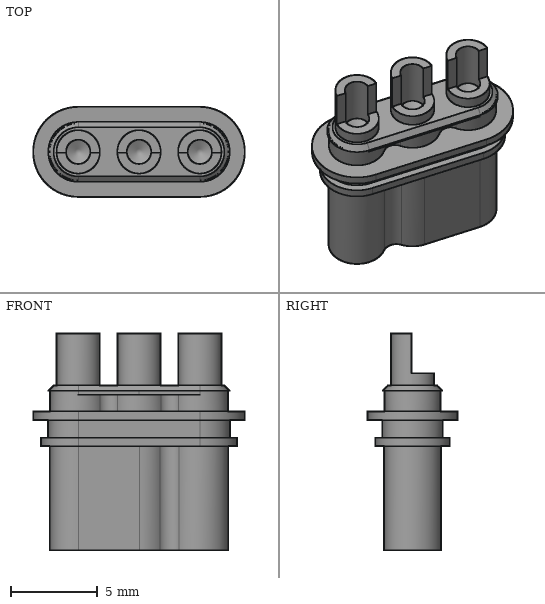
import cadquery as cq
import math


pin_pitch = 3.5
pin_diameter = 2.5
pin_top = 12.5
half_pitch = pin_pitch / 2
pin_xs = [-pin_pitch, 0.0, pin_pitch]

cup_diameter = 1.4
cup_floor = 9.5
cup_point_angle = 118.0
cup_cut_bottom = 10.2
cup_cut_y = -0.05

plug_top = 6.0
lower_flange_top = 6.5
neck_top = 7.5
upper_flange_top = 8.0
collar_bottom = 8.98
cap_chamfer = 0.31
housing_top = 9.5
cap_bottom = housing_top - cap_chamfer

plug_width = 3.3
stem_width = 3.25
lower_flange_width = 4.3
neck_width = 3.5
upper_flange_width = 5.2
cap_width = 3.45
cap_slope = 45.0

plug_waist_radius = 0.75
stem_waist_radius = 0.65


def slab(width, bottom, top, slope=0):
    """Round-ended slab that spans the three pins; slope leans its sides inward, in degrees."""
    length = 2 * pin_pitch + width
    base = cq.Workplane("XY", origin=(0, 0, bottom))
    return base.slot2D(length, width).extrude(top - bottom, taper=slope)


def waist_geometry(lobe_radius, waist_radius):
    """Distance along X and Y from a lobe centre to its tangent point, and Y of the waist bottom."""
    center_distance = lobe_radius + waist_radius
    waist_center_y = math.sqrt(center_distance**2 - half_pitch**2)
    tangent_x = lobe_radius * half_pitch / center_distance
    tangent_y = lobe_radius * waist_center_y / center_distance
    return tangent_x, tangent_y, waist_center_y - waist_radius


def make_lobes():
    """Stem body with a lobe round each pin and a concave waist between neighbouring lobes."""
    lobe_radius = stem_width / 2
    tangent_x, tangent_y, waist_y = waist_geometry(lobe_radius, stem_waist_radius)
    end_x = pin_pitch + lobe_radius
    inner_x = pin_pitch - tangent_x
    return (
        cq.Workplane("XY", origin=(0, 0, upper_flange_top))
        .moveTo(-inner_x, -tangent_y)
        .threePointArc((-half_pitch, -waist_y), (-tangent_x, -tangent_y))
        .threePointArc((0, -lobe_radius), (tangent_x, -tangent_y))
        .threePointArc((half_pitch, -waist_y), (inner_x, -tangent_y))
        .threePointArc((end_x, 0), (inner_x, tangent_y))
        .threePointArc((half_pitch, waist_y), (tangent_x, tangent_y))
        .threePointArc((0, lobe_radius), (-tangent_x, tangent_y))
        .threePointArc((-half_pitch, waist_y), (-inner_x, tangent_y))
        .threePointArc((-end_x, 0), (-inner_x, -tangent_y))
        .close()
        .extrude(cap_bottom - upper_flange_top)
    )


def make_plug():
    """Mating end: straight sides on the -X half, waists on the +X half as the key."""
    lobe_radius = plug_width / 2
    tangent_x, tangent_y, waist_y = waist_geometry(lobe_radius, plug_waist_radius)
    end_x = pin_pitch + lobe_radius
    inner_x = pin_pitch - tangent_x
    middle_angle = (math.atan2(tangent_y, tangent_x) + math.pi / 2) / 2
    middle_x = lobe_radius * math.cos(middle_angle)
    middle_y = lobe_radius * math.sin(middle_angle)
    return (
        cq.Workplane("XY")
        .moveTo(-pin_pitch, -lobe_radius)
        .lineTo(0, -lobe_radius)
        .threePointArc((middle_x, -middle_y), (tangent_x, -tangent_y))
        .threePointArc((half_pitch, -waist_y), (inner_x, -tangent_y))
        .threePointArc((end_x, 0), (inner_x, tangent_y))
        .threePointArc((half_pitch, waist_y), (tangent_x, tangent_y))
        .threePointArc((middle_x, middle_y), (0, lobe_radius))
        .lineTo(-pin_pitch, lobe_radius)
        .threePointArc((-end_x, 0), (-pin_pitch, -lobe_radius))
        .close()
        .extrude(plug_top)
    )


def make_stem():
    """Three-lobed stem above the upper flange, its waists filled by a straight collar under the cap."""
    collar = (
        cq.Workplane("XY", origin=(0, 0, collar_bottom))
        .rect(2 * pin_pitch, stem_width)
        .extrude(cap_bottom - collar_bottom)
    )
    return make_lobes().union(collar, clean=False)


def make_cap():
    """Cap that overhangs the stem and is chamfered over its whole height."""
    return slab(cap_width, cap_bottom, housing_top, cap_slope)


def make_housing():
    """One housing with a through bore for each pin."""
    bores = (
        cq.Workplane("XY")
        .pushPoints([(x, 0) for x in pin_xs])
        .circle(pin_diameter / 2)
        .extrude(housing_top)
    )
    return (
        make_plug()
        .union(slab(lower_flange_width, plug_top, lower_flange_top), clean=False)
        .union(slab(neck_width, lower_flange_top, neck_top), clean=False)
        .union(slab(upper_flange_width, neck_top, upper_flange_top), clean=False)
        .union(make_stem(), clean=False)
        .union(make_cap(), clean=False)
        .cut(bores, clean=False)
    )


def make_pin(x):
    """Round pin with a cone-bottomed solder cup, cut open on the +Y side."""
    pin_radius = pin_diameter / 2
    cup_radius = cup_diameter / 2
    cone_depth = cup_radius / math.tan(math.radians(cup_point_angle / 2))
    cup = (
        cq.Workplane("XZ")
        .moveTo(0, pin_top)
        .lineTo(cup_radius, pin_top)
        .lineTo(cup_radius, cup_floor)
        .lineTo(0, cup_floor - cone_depth)
        .close()
        .revolve(360, (0, 0, 0), (0, 1, 0))
    )
    cup_opening = (
        cq.Workplane("XY", origin=(0, cup_cut_y, cup_cut_bottom))
        .rect(pin_diameter, pin_diameter, centered=(True, False))
        .extrude(pin_top - cup_cut_bottom)
    )
    pin = cq.Workplane("XY").circle(pin_radius).extrude(pin_top)
    return pin.cut(cup).cut(cup_opening).translate((x, 0, 0))


housing = make_housing()
pins = []
for pin_x in pin_xs:
    pins.append(make_pin(pin_x))

result = cq.Compound.makeCompound([housing.val(), *[pin.val() for pin in pins]])